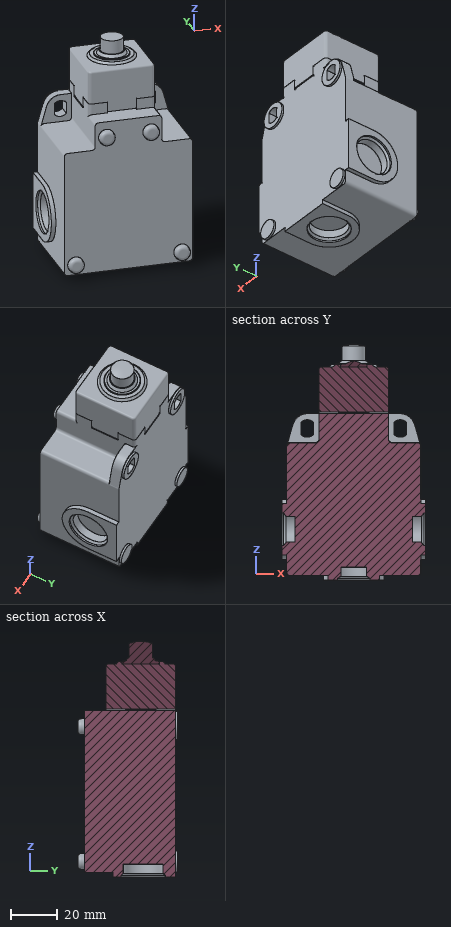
import cadquery as cq
import math


TOTAL_HEIGHT = 101.8
TOTAL_WIDTH = 62.0
TOTAL_DEPTH = 43.3
PAD_THICKNESS = 2.0
SCREW_HEIGHT = 3.0
BOSS_HEIGHT = 1.0

HEAD_SIZE = 30.0
HEAD_TOP = 92.1
HEAD_TOP_FILLET = 1.0
CHANNEL_WIDTH = 13.0
POST_TOP = 77.0
KEY_BOTTOM = 72.5

HOUSING_WIDTH = TOTAL_WIDTH - 2 * PAD_THICKNESS
HOUSING_DEPTH = TOTAL_DEPTH - BOSS_HEIGHT - SCREW_HEIGHT
HOUSING_BOTTOM = PAD_THICKNESS
SHOULDER_TOP = 59.4
NECK_TOP = 72.0
BACK_Y = HEAD_SIZE / 2
FRONT_Y = BACK_Y - HOUSING_DEPTH
EDGE_FILLET = 1.5

LUG_THICKNESS = 5.0
SLOT_X = 20.1
SLOT_Z = 65.5
SLOT_WIDTH = 5.3
SLOT_LENGTH = 7.3
LUG_BOSS_DIAMETER = 12.4

SCREW_DIAMETER = 7.0
SCREW_ROUNDING = 1.6
UPPER_SCREW_X = 10.0
UPPER_SCREW_Z = 65.0
LOWER_SCREW_X = 23.9
LOWER_SCREW_Z = 6.9
FOOT_DIAMETER = 9.2

PAD_RADIUS = 13.0
ENTRY_Y = 1.0
ENTRY_Z = 22.0
ENTRY_MOUTH_DIAMETER = 19.0
ENTRY_BORE_DIAMETER = 17.1
MOUTH_DEPTH = 0.8
ENTRY_DEPTH = 5.6

RING_HEIGHT = 1.0
RING_BASE_RADIUS = 10.7
RING_TOP_RADIUS = 9.7
RING_TOP = HEAD_TOP + RING_HEIGHT
FLANGE_RADIUS = 7.9
FLANGE_BEVEL = 0.3
COLLAR_BASE_RADIUS = 6.6
COLLAR_TOP_RADIUS = 5.5
COLLAR_TOP = 94.7
ROD_RADIUS = 5.1
DOME_HEIGHT = 0.9


def front_plane(y):
    """Plane facing -Y at the given y, with local x along X and local y along Z."""
    return cq.Workplane("XZ", origin=(0, y, 0))


def mirrored(x, z):
    """A point and its mirror image across the YZ plane."""
    return [(-x, z), (x, z)]


def make_block():
    """Main block with the narrower neck above its shoulders, rounded along Y."""
    half_width = HOUSING_WIDTH / 2
    half_neck = HEAD_SIZE / 2
    return (
        front_plane(BACK_Y)
        .moveTo(-half_width, HOUSING_BOTTOM)
        .lineTo(half_width, HOUSING_BOTTOM)
        .lineTo(half_width, SHOULDER_TOP)
        .lineTo(half_neck, SHOULDER_TOP)
        .lineTo(half_neck, NECK_TOP)
        .lineTo(-half_neck, NECK_TOP)
        .lineTo(-half_neck, SHOULDER_TOP)
        .lineTo(-half_width, SHOULDER_TOP)
        .close()
        .extrude(HOUSING_DEPTH)
        .edges("|Y")
        .fillet(EDGE_FILLET)
    )


def make_posts():
    """Four corner posts that carry the head, left by two crossing channels."""
    base = NECK_TOP - EDGE_FILLET
    column = (
        cq.Workplane("XY", origin=(0, 0, base))
        .rect(HEAD_SIZE, HEAD_SIZE)
        .extrude(POST_TOP - base)
        .edges("|Z")
        .fillet(EDGE_FILLET)
    )
    return column.cut(make_cross(NECK_TOP, POST_TOP))


def make_cross(bottom, top):
    """Two crossing bars of the channel width, spanning the head in X and in Y."""
    plane = cq.Workplane("XY", origin=(0, 0, bottom))
    bar_x = plane.rect(HEAD_SIZE, CHANNEL_WIDTH).extrude(top - bottom)
    bar_y = plane.rect(CHANNEL_WIDTH, HEAD_SIZE).extrude(top - bottom)
    return bar_x.union(bar_y)


def make_lug_plate():
    """Back plate with an ear on each side, rounded about the slot centre."""
    ear_radius = NECK_TOP - SLOT_Z
    foot_x = HOUSING_WIDTH / 2
    foot_z = SHOULDER_TOP - EDGE_FILLET
    distance = math.hypot(foot_x - SLOT_X, foot_z - SLOT_Z)
    foot_angle = math.atan2(foot_z - SLOT_Z, foot_x - SLOT_X)
    tangent_angle = foot_angle + math.acos(ear_radius / distance)
    middle_angle = (tangent_angle + math.pi / 2) / 2

    def on_ear(angle, side):
        return (side * (SLOT_X + ear_radius * math.cos(angle)), SLOT_Z + ear_radius * math.sin(angle))

    return (
        front_plane(BACK_Y)
        .moveTo(-foot_x, foot_z)
        .lineTo(foot_x, foot_z)
        .lineTo(*on_ear(tangent_angle, 1))
        .threePointArc(on_ear(middle_angle, 1), (SLOT_X, NECK_TOP))
        .lineTo(-SLOT_X, NECK_TOP)
        .threePointArc(on_ear(middle_angle, -1), on_ear(tangent_angle, -1))
        .close()
        .extrude(LUG_THICKNESS)
    )


def make_rear_bosses():
    """Low round bosses on the back, behind the lug slots and the lower screws."""
    plane = front_plane(BACK_Y + BOSS_HEIGHT)
    lug_centres = mirrored(SLOT_X, SLOT_Z)
    foot_centres = mirrored(LOWER_SCREW_X, LOWER_SCREW_Z)
    lug_bosses = plane.pushPoints(lug_centres).circle(LUG_BOSS_DIAMETER / 2).extrude(BOSS_HEIGHT)
    feet = plane.pushPoints(foot_centres).circle(FOOT_DIAMETER / 2).extrude(BOSS_HEIGHT)
    return lug_bosses.union(feet)


def make_lug_slots():
    """Slot cutters: a round hole with flattened sides, through lug and boss."""
    plane = front_plane(BACK_Y + BOSS_HEIGHT)
    depth = LUG_THICKNESS + BOSS_HEIGHT
    centres = mirrored(SLOT_X, SLOT_Z)
    rounds = plane.pushPoints(centres).circle(SLOT_LENGTH / 2).extrude(depth)
    flats = plane.pushPoints(centres).rect(SLOT_WIDTH, SLOT_LENGTH).extrude(depth)
    return rounds.intersect(flats)


def make_cover_screws():
    """Four rounded screw heads on the front face."""
    centres = mirrored(UPPER_SCREW_X, UPPER_SCREW_Z) + mirrored(LOWER_SCREW_X, LOWER_SCREW_Z)
    return (
        front_plane(FRONT_Y)
        .pushPoints(centres)
        .circle(SCREW_DIAMETER / 2)
        .extrude(SCREW_HEIGHT)
        .faces("<Y")
        .edges()
        .fillet(SCREW_ROUNDING)
    )


def entry_planes():
    """Planes on the outer faces of the left, right and bottom pads: normal outward, local x along +Y."""
    half_width = TOTAL_WIDTH / 2
    return [
        cq.Plane(origin=(-half_width, ENTRY_Y, ENTRY_Z), xDir=(0, 1, 0), normal=(-1, 0, 0)),
        cq.Plane(origin=(half_width, ENTRY_Y, ENTRY_Z), xDir=(0, 1, 0), normal=(1, 0, 0)),
        cq.Plane(origin=(0, ENTRY_Y, 0), xDir=(0, 1, 0), normal=(0, 0, -1)),
    ]


def make_entry_pad(plane):
    """Raised pad, round at the front and square at the back of the housing."""
    to_back = BACK_Y - ENTRY_Y
    return (
        cq.Workplane(plane)
        .moveTo(to_back, -PAD_RADIUS)
        .lineTo(0, -PAD_RADIUS)
        .threePointArc((-PAD_RADIUS, 0), (0, PAD_RADIUS))
        .lineTo(to_back, PAD_RADIUS)
        .close()
        .extrude(-PAD_THICKNESS)
    )


def make_entry_bore(plane):
    """Blind cable bore cutter: short wide mouth, 45 degree cone, then the bore."""
    mouth_radius = ENTRY_MOUTH_DIAMETER / 2
    bore_radius = ENTRY_BORE_DIAMETER / 2
    cone_end = MOUTH_DEPTH + mouth_radius - bore_radius
    profile_plane = cq.Plane(origin=plane.origin, xDir=plane.xDir, normal=plane.yDir)
    inward = -profile_plane.yDir.dot(plane.zDir)
    return (
        cq.Workplane(profile_plane)
        .polyline(
            [
                (0, 0),
                (mouth_radius, 0),
                (mouth_radius, inward * MOUTH_DEPTH),
                (bore_radius, inward * cone_end),
                (bore_radius, inward * ENTRY_DEPTH),
                (0, inward * ENTRY_DEPTH),
            ]
        )
        .close()
        .revolve(360, (0, 0), (0, 1))
    )


def make_housing():
    body = (
        make_block()
        .union(make_lug_plate())
        .union(make_posts())
        .union(make_rear_bosses())
        .union(make_cover_screws())
        .cut(make_lug_slots())
    )
    for plane in entry_planes():
        body = body.union(make_entry_pad(plane)).cut(make_entry_bore(plane))
    return body


def make_head():
    """Square head with a bevelled ring on top and a cross key between the posts."""
    cap = (
        cq.Workplane("XY", origin=(0, 0, POST_TOP))
        .rect(HEAD_SIZE, HEAD_SIZE)
        .extrude(HEAD_TOP - POST_TOP)
        .edges("|Z")
        .fillet(EDGE_FILLET)
        .faces(">Z")
        .edges()
        .fillet(HEAD_TOP_FILLET)
    )
    ring = (
        cq.Workplane("XZ")
        .polyline(
            [
                (FLANGE_RADIUS, HEAD_TOP),
                (RING_BASE_RADIUS, HEAD_TOP),
                (RING_TOP_RADIUS, RING_TOP),
                (FLANGE_RADIUS, RING_TOP),
            ]
        )
        .close()
        .revolve(360, (0, 0), (0, 1))
    )
    return cap.union(make_cross(KEY_BOTTOM, POST_TOP)).union(ring)


def make_plunger():
    """Domed rod with a conical collar on a flange seated inside the ring."""
    flange_top = RING_TOP + FLANGE_BEVEL
    dome_base = TOTAL_HEIGHT - DOME_HEIGHT
    dome_radius = (ROD_RADIUS**2 + DOME_HEIGHT**2) / (2 * DOME_HEIGHT)
    middle_x = ROD_RADIUS / 2
    middle_z = TOTAL_HEIGHT - dome_radius + math.sqrt(dome_radius**2 - middle_x**2)
    return (
        cq.Workplane("XZ")
        .moveTo(0, HEAD_TOP)
        .lineTo(FLANGE_RADIUS, HEAD_TOP)
        .lineTo(FLANGE_RADIUS, RING_TOP)
        .lineTo(FLANGE_RADIUS - FLANGE_BEVEL, flange_top)
        .lineTo(COLLAR_BASE_RADIUS, flange_top)
        .lineTo(COLLAR_TOP_RADIUS, COLLAR_TOP)
        .lineTo(ROD_RADIUS, COLLAR_TOP)
        .lineTo(ROD_RADIUS, dome_base)
        .threePointArc((middle_x, middle_z), (0, TOTAL_HEIGHT))
        .close()
        .revolve(360, (0, 0), (0, 1))
    )


housing = make_housing()
head = make_head()
plunger = make_plunger()

result = cq.Compound.makeCompound([body.solids().val() for body in (housing, head, plunger)])